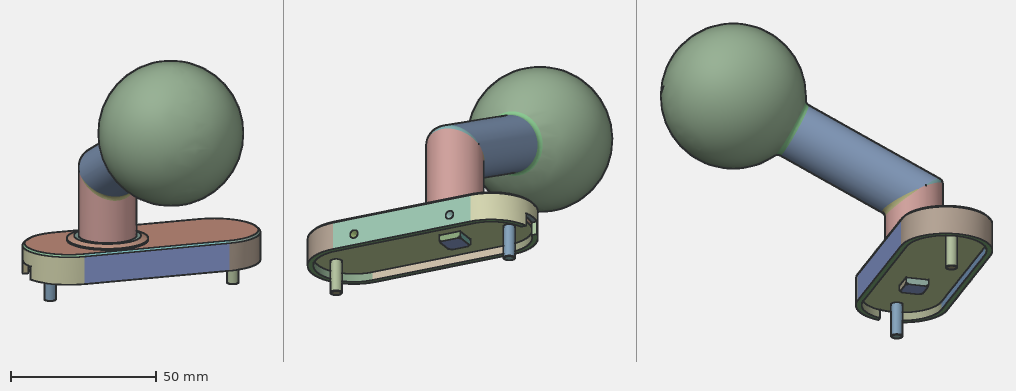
import cadquery as cq
import math

overall_length = 105.8

plate_width = 32.1
plate_length = 85.0
plate_height = 10.6
plate_edge_chamfer = 0.7
plate_wall = 2.0
notch_width = 8.0
notch_height = 4.7
dimple_diameter = 3.0
dimple_height = 4.0
dimple_offset = 18.4

insert_bottom = 3.0

pin_diameter = 4.0
pin_offset = 33.3
pin_projection = 9.0
pin_chamfer = 0.2

collar_diameter = 28.0
collar_top_diameter = 23.1
collar_height = 1.5
collar_rim = 0.5

handle_y = -12.4
tube_diameter = 20.0
ball_diameter = 50.0
arm_angle = 25.0
elbow_height = 34.6
elbow_fillet = 2.0
ball_fillet = 2.0
rounded_share = 0.99

spindle_side = 8.0
spindle_bottom = 0.5
spindle_tip_diameter = 10.0

cavity_length = plate_length - 2 * plate_wall
cavity_width = plate_width - 2 * plate_wall
cavity_height = plate_height - plate_wall
ball_x = overall_length - plate_width / 2 - ball_diameter / 2
arm_length = ball_x / math.cos(math.radians(arm_angle))
ball_height = elbow_height + ball_x * math.tan(math.radians(arm_angle))


def stadium(length, width, bottom, top):
    """Upright prism with round ends, its long axis along Y."""
    return cq.Workplane("XY").workplane(offset=bottom).slot2D(length, width, 90).extrude(top - bottom)


def square_bar(bottom, top):
    """Length of the square spindle bar on the handle axis."""
    bar = cq.Workplane("XY", origin=(0, handle_y, bottom))
    return bar.rect(spindle_side, spindle_side).extrude(top - bottom)


def make_cover():
    """Stadium-shaped shell with a chamfered top edge, a notched end and two side dimples."""
    cover = stadium(plate_length, plate_width, 0, plate_height)
    cover = cover.faces(">Z").edges().chamfer(plate_edge_chamfer)
    cover = cover.cut(stadium(cavity_length, cavity_width, 0, cavity_height))

    notch_depth = plate_length / 2
    notch = cq.Workplane("XY").box(notch_width, notch_depth, notch_height, centered=(True, False, False))
    cover = cover.cut(notch.translate((0, -plate_length / 2, 0)))

    radius = dimple_diameter / 2
    inward = cq.Vector(1, 0, 0)
    for y in (-dimple_offset, dimple_offset):
        mouth = cq.Vector(-plate_width / 2, y, dimple_height)
        dimple = cq.Solid.makeCone(radius, 0, radius, mouth, inward)
        cover = cover.cut(cq.Workplane(dimple))

    return cover.cut(square_bar(cavity_height, plate_height))


def make_insert():
    """Mounting plate that fills the upper part of the cover's cavity."""
    insert = stadium(cavity_length, cavity_width, insert_bottom, cavity_height)
    insert = insert.faces(">Z").workplane(origin=(0, 0, 0))
    insert = insert.pushPoints([(0, -pin_offset), (0, pin_offset)]).hole(pin_diameter)
    return insert.cut(square_bar(insert_bottom, cavity_height))


def make_pin(y):
    """Pin through the mounting plate, with a chamfered lower end below the cover."""
    pin = cq.Workplane("XY", origin=(0, y, -pin_projection))
    pin = pin.circle(pin_diameter / 2).extrude(pin_projection + cavity_height)
    return pin.faces("<Z").chamfer(pin_chamfer)


def make_collar():
    """Ring with a sloping top, bored for the handle tube."""
    bore = tube_diameter / 2
    rim = collar_diameter / 2
    profile = [
        (bore, 0),
        (rim, 0),
        (rim, collar_rim),
        (collar_top_diameter / 2, collar_height),
        (bore, collar_height),
    ]
    ring = cq.Workplane("XZ").polyline(profile).close().revolve(360, (0, 0, 0), (0, 1, 0))
    return ring.translate((0, handle_y, plate_height))


def make_mitred_tube():
    """Upright stem and sloping arm, both round, meeting on a flat mitre at the elbow."""
    radius = tube_diameter / 2
    bend = 90 - arm_angle
    elbow = cq.Vector(0, 0, elbow_height)
    overrun = tube_diameter

    stem_length = elbow_height + overrun - plate_height
    stem = cq.Workplane("XY").circle(radius).extrude(stem_length)
    stem = stem.rotate((0, 0, 0), (0, 0, 1), 90).translate((0, 0, plate_height))

    arm = cq.Workplane("XY").workplane(offset=-overrun).circle(radius).extrude(overrun + arm_length)
    arm = arm.rotate((0, 0, 0), (0, 0, 1), 90)
    arm = arm.rotate((0, 0, 0), (0, 1, 0), bend).translate(elbow)

    arm_side = cq.Workplane("XY", origin=(0, 0, overall_length / 2))
    arm_side = arm_side.box(2 * overall_length, tube_diameter, overall_length)
    arm_side = arm_side.rotate((0, 0, 0), (0, 1, 0), bend / 2).translate(elbow)
    return stem.cut(arm_side).union(arm.intersect(arm_side))


def round_mitre(tube):
    """Round the outer and inner mitre edges, which fade out at the two sides of the tube.

    The fading ends are left sharp: thin slices of both sides are set apart while the
    rest of the edge is rounded, then joined again.
    """
    core_width = rounded_share * tube_diameter
    middle = cq.Workplane("XY").box(3 * overall_length, core_width, 3 * overall_length)
    sides = tube.cut(middle)
    core = tube.intersect(middle)
    reach = tube_diameter
    near_elbow = cq.selectors.BoxSelector(
        (-reach, -reach, elbow_height - reach / 2),
        (reach, reach, elbow_height + reach / 2),
    )
    core = core.edges("%ELLIPSE").edges(near_elbow).fillet(elbow_fillet)
    return core.union(sides)


def make_handle():
    """Cranked tube and ball in one piece, standing on the cover plate."""
    tube = round_mitre(make_mitred_tube())
    ball = cq.Workplane("XY").sphere(ball_diameter / 2).translate((ball_x, 0, ball_height))
    handle = tube.union(ball)

    entry = arm_length - math.sqrt(ball_diameter**2 - tube_diameter**2) / 2
    angle = math.radians(arm_angle)
    entry_point = (entry * math.cos(angle), 0, elbow_height + entry * math.sin(angle))
    handle = handle.edges("%CIRCLE").edges(cq.selectors.NearestToPointSelector(entry_point))
    return handle.fillet(ball_fillet).translate((0, handle_y, 0))


def make_spindle():
    """Square bar from the handle foot down, with a conical chamfer on its lower corners."""
    bar = square_bar(spindle_bottom, plate_height)
    height = plate_height - spindle_bottom
    tip = spindle_tip_diameter / 2
    cone = cq.Solid.makeCone(tip, tip + height, height, cq.Vector(0, handle_y, spindle_bottom))
    return bar.intersect(cq.Workplane(cone))


cover = make_cover()
insert = make_insert()
pins = [make_pin(y) for y in (-pin_offset, pin_offset)]
collar = make_collar()
handle = make_handle()
spindle = make_spindle()

result = cq.Compound.makeCompound(
    [
        cover.val(),
        insert.val(),
        *[pin.val() for pin in pins],
        collar.val(),
        handle.val(),
        spindle.val(),
    ]
)